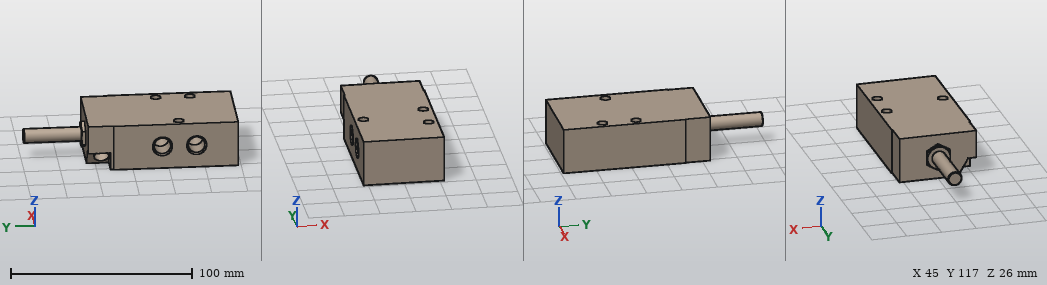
import cadquery as cq
import math

total_length = 117.0
body_width = 45.0
height = 26.0

body_length = 69.0
cap_width = 44.1
cap_length = 14.0
cap_end = body_length + cap_length

pattern_center = 32.5
pattern_pitch = 19.0
pattern_rows = (pattern_center - pattern_pitch / 2, pattern_center + pattern_pitch / 2)
mounting_hole_diameter = 5.5
mounting_hole_offset = 17.4
port_diameter = 9.2
port_mouth_diameter = 11.0
port_depth = 11.7
port_tip_angle = 118.0

nut_thickness = 2.1
nut_across_flats = 13.1
nut_face_diameter = 13.0
nut_chamfer_angle = 20.0
rod_diameter = 8.0
rod_end_diameter = 7.1

notch_length = 12.3
notch_height = 10.0
notch_depth = 4.7
wall_tilt = 30.0

socket_diameter = 8.2
socket_from_cap_end = 8.0
socket_height = 5.3
socket_depth = 7.0
socket_step_depth = 1.4
socket_step_offset = 1.2


def block(width, length, y_start):
    """Full-height block centred on X and Z, running along +Y from y_start."""
    return cq.Workplane("XY").box(width, length, height, (True, False, True)).translate((0, y_start, 0))


def mounting_holes():
    """Vertical through holes: two on the +X side and one between them on the -X side."""
    points = [(mounting_hole_offset, y) for y in pattern_rows]
    points.append((-mounting_hole_offset, pattern_center))
    plane = cq.Workplane("XY").workplane(offset=-height / 2)
    return plane.pushPoints(points).circle(mounting_hole_diameter / 2).extrude(height)


def side_port(y):
    """Blind drilled port on the -X face with a 45 degree mouth chamfer and a conical bottom."""
    radius = port_diameter / 2
    mouth_radius = port_mouth_diameter / 2
    tip_length = radius / math.tan(math.radians(port_tip_angle / 2))
    profile = (
        cq.Workplane("XY")
        .moveTo(0, 0)
        .lineTo(0, mouth_radius)
        .lineTo(mouth_radius - radius, radius)
        .lineTo(port_depth, radius)
        .lineTo(port_depth + tip_length, 0)
        .close()
    )
    port = profile.revolve(360, (0, 0, 0), (1, 0, 0))
    return port.translate((-body_width / 2, y, 0))


def nut():
    """Hexagon with corners up and down, its outer face chamfered by a cone."""
    corner_diameter = nut_across_flats / math.cos(math.pi / 6)
    hexagon = (
        cq.Workplane("XZ", origin=(0, cap_end, 0))
        .transformed(rotate=(0, 0, 90))
        .polygon(6, corner_diameter)
        .extrude(-nut_thickness)
    )
    corner_radius = corner_diameter / 2
    face_radius = nut_face_diameter / 2
    nut_end = cap_end + nut_thickness
    chamfer_length = (corner_radius - face_radius) * math.tan(math.radians(nut_chamfer_angle))
    turned_blank = (
        cq.Workplane("XY")
        .moveTo(0, cap_end)
        .lineTo(corner_radius, cap_end)
        .lineTo(corner_radius, nut_end - chamfer_length)
        .lineTo(face_radius, nut_end)
        .lineTo(0, nut_end)
        .close()
        .revolve(360, (0, 0, 0), (0, 1, 0))
    )
    return hexagon.intersect(turned_blank)


def rod():
    """Round rod from the cap to the far end, with a chamfered tip."""
    base = cq.Workplane("XZ", origin=(0, cap_end, 0))
    cylinder = base.circle(rod_diameter / 2).extrude(cap_end - total_length)
    return cylinder.faces(">Y").chamfer((rod_diameter - rod_end_diameter) / 2)


def notch():
    """Corner notch open to -X, -Z and +Y; its back wall leans inward towards the bottom."""
    side = -cap_width / 2
    bottom = -height / 2
    ceiling = bottom + notch_height
    wall_run = notch_height * math.tan(math.radians(wall_tilt))
    return (
        cq.Workplane("XZ", origin=(0, cap_end, 0))
        .moveTo(side, bottom)
        .lineTo(side, ceiling)
        .lineTo(side + notch_depth, ceiling)
        .lineTo(side + notch_depth + wall_run, bottom)
        .close()
        .extrude(notch_length)
    )


def socket():
    """Flat-bottomed bore in the notch wall; the part of its floor above a chord is deeper."""
    tilt = math.radians(wall_tilt)
    wall_x = -cap_width / 2 + notch_depth + (notch_height - socket_height) * math.tan(tilt)
    mouth = (wall_x, cap_end - socket_from_cap_end, -height / 2 + socket_height)
    inward = (math.cos(tilt), 0, math.sin(tilt))
    plane = cq.Plane(origin=mouth, xDir=(0, 1, 0), normal=inward)
    bore = cq.Workplane(plane).circle(socket_diameter / 2).extrude(socket_depth + socket_step_depth)
    step = (
        cq.Workplane(plane)
        .workplane(offset=socket_depth)
        .center(0, -socket_step_offset)
        .rect(socket_diameter, -socket_diameter, centered=(True, False))
        .extrude(socket_step_depth)
    )
    return bore.cut(step)


body = block(body_width, body_length, 0).cut(mounting_holes())
for row in pattern_rows:
    body = body.cut(side_port(row))

cap = block(cap_width, cap_length, body_length).cut(notch()).cut(socket())

result = body.union(cap).union(nut()).union(rod())